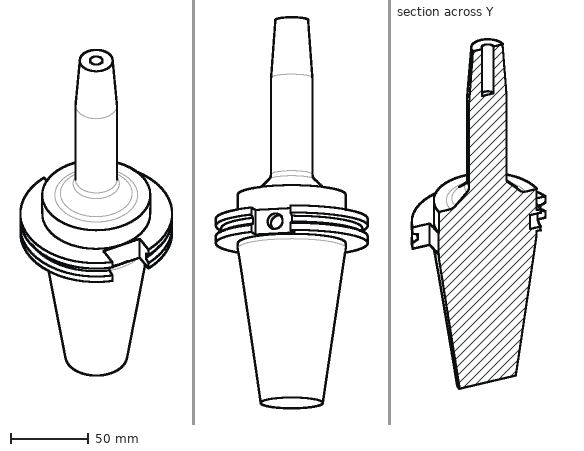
import cadquery as cq
import math

total_length = 251.5
gauge_diameter = 70.0
taper_length = 101.6
taper_ratio = 7 / 24

flange_diameter = 98.5
flange_bottom = 105.0
flange_thickness = 16.0
groove_mouth = 6.8
groove_floor_width = 3.8
groove_floor_diameter = 91.3

collar_height = 15.9
neck_diameter = 27.0
shoulder_angle = math.radians(45)
shoulder_cone_height = 8.3
shoulder_fillet = 5.0

nose_length = 38.0
tip_diameter = 21.5
bore_diameter = 8.0
bore_depth = 35.2

slot_width = 26.5
left_slot_floor = 37.7
right_slot_floor = 35.2
side_hole_diameter = 10.0
side_hole_depth = 7.5

gauge_radius = gauge_diameter / 2
flange_radius = flange_diameter / 2
neck_radius = neck_diameter / 2
shank_end_radius = (gauge_diameter - taper_length * taper_ratio) / 2
flange_top = flange_bottom + flange_thickness
flange_middle = flange_bottom + flange_thickness / 2
collar_top = flange_top + collar_height


def make_shank_and_collar():
    """Tapered shank, with a cylinder at the gauge diameter up to the collar face."""
    return (
        cq.Workplane("XZ")
        .moveTo(0, 0)
        .lineTo(shank_end_radius, 0)
        .lineTo(gauge_radius, taper_length)
        .lineTo(gauge_radius, collar_top)
        .lineTo(0, collar_top)
        .close()
        .revolve(360, (0, 0), (0, 1))
    )


def make_flange():
    """Flange ring with a V-sided groove around its rim."""
    groove_floor_radius = groove_floor_diameter / 2
    return (
        cq.Workplane("XZ")
        .moveTo(0, flange_bottom)
        .lineTo(flange_radius, flange_bottom)
        .lineTo(flange_radius, flange_middle - groove_mouth / 2)
        .lineTo(groove_floor_radius, flange_middle - groove_floor_width / 2)
        .lineTo(groove_floor_radius, flange_middle + groove_floor_width / 2)
        .lineTo(flange_radius, flange_middle + groove_mouth / 2)
        .lineTo(flange_radius, flange_top)
        .lineTo(0, flange_top)
        .close()
        .revolve(360, (0, 0), (0, 1))
    )


def make_neck():
    """Neck and nose, joined to the collar by a cone with a tangent fillet at each end."""
    along = shoulder_fillet * math.sin(shoulder_angle)
    across = shoulder_fillet * (1 - math.cos(shoulder_angle))
    half_along = shoulder_fillet * math.sin(shoulder_angle / 2)
    half_across = shoulder_fillet * (1 - math.cos(shoulder_angle / 2))

    cone_top_radius = neck_radius + across
    cone_bottom_radius = cone_top_radius + shoulder_cone_height * math.tan(shoulder_angle)
    foot_radius = cone_bottom_radius + along
    cone_bottom = collar_top + across
    cone_top = cone_bottom + shoulder_cone_height
    neck_bottom = cone_top + along
    return (
        cq.Workplane("XZ")
        .moveTo(0, flange_top)
        .lineTo(foot_radius, flange_top)
        .lineTo(foot_radius, collar_top)
        .threePointArc(
            (foot_radius - half_along, collar_top + half_across),
            (cone_bottom_radius, cone_bottom),
        )
        .lineTo(cone_top_radius, cone_top)
        .threePointArc(
            (neck_radius + half_across, neck_bottom - half_along),
            (neck_radius, neck_bottom),
        )
        .lineTo(neck_radius, total_length - nose_length)
        .lineTo(tip_diameter / 2, total_length)
        .lineTo(0, total_length)
        .close()
        .revolve(360, (0, 0), (0, 1))
    )


def make_slot_cutter(side, floor):
    """Box from the slot floor out to the rim; side is -1 for -X and +1 for +X."""
    depth = flange_radius - floor
    center = (side * (floor + depth / 2), 0, flange_middle)
    return cq.Workplane("XY", origin=center).box(depth, slot_width, flange_thickness)


def make_bore_cutter():
    bottom = total_length - bore_depth
    return cq.Workplane("XY", origin=(0, 0, bottom)).circle(bore_diameter / 2).extrude(bore_depth)


def make_side_hole_cutter():
    return (
        cq.Workplane("YZ", origin=(-left_slot_floor, 0, flange_middle))
        .circle(side_hole_diameter / 2)
        .extrude(side_hole_depth)
    )


result = (
    make_shank_and_collar()
    .union(make_flange())
    .union(make_neck())
    .cut(make_slot_cutter(-1, left_slot_floor))
    .cut(make_slot_cutter(1, right_slot_floor))
    .cut(make_side_hole_cutter())
    .cut(make_bore_cutter())
)